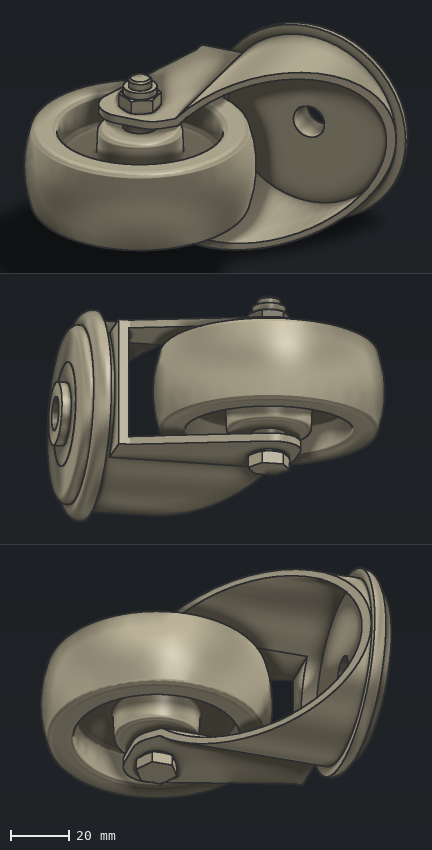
import cadquery as cq
import math


wheel_radius = 40.0
wheel_half_width = 15.0
tread_edge_radius = 37.3
tread_edge_fillet = 2.3
rim_inner_radius = 28.9
rim_floor_radius = 27.7
hub_top_radius = 14.5
hub_foot_radius = 15.1
rim_web_half_thickness = 3.1
hub_web_half_thickness = 2.9
pocket_fillet = 2.1
sleeve_diameter = 12.0

swivel_offset = 39.0
fork_half_height = 22.5
arm_thickness = 2.9
arm_left = -0.6
arm_top = 52.9
taper_start = 49.1
bridge_thickness = 3.5
foot_radius = 10.0
foot_half_flat = 4.6
tube_diameter = 66.0
tube_bore = 61.0
slant_far_x = 72.2

flange_diameter = 73.0
flange_thickness = 5.1
flange_fillet = 4.0
cap_diameter = 62.0
cap_thickness = 3.5
cap_fillet = 2.9
stem_diameter = 22.0
stem_height = 3.2
pad_diameter = 36.0
pad_thickness = 0.1
stem_bore = 11.7
flange_bottom = 54.9

bolt_diameter = 8.0
hex_across_flats = 12.7
collar_diameter = 11.7
washer_face_height = 0.7
head_height = 4.6
nut_height = 5.4
collar_height = 2.4
bolt_tip_length = 3.1
bolt_tip_chamfer = 0.7
hex_chamfer_diameter = 12.2
hex_corner_drop = 0.5

arm_inner = fork_half_height - arm_thickness
arm_reach = -foot_half_flat - foot_radius


def z_cylinder(diameter, bottom, height):
    """Cylinder on the axle axis, growing toward +Z from the given Z."""
    return cq.Workplane("XY", origin=(0, 0, bottom)).circle(diameter / 2).extrude(height)


def swivel_disc(diameter, bottom, height):
    """Disc on the swivel axis, growing toward +Y from the given Y."""
    plane = cq.Plane(origin=(swivel_offset, bottom, 0), xDir=(1, 0, 0), normal=(0, 1, 0))
    return cq.Workplane(plane).circle(diameter / 2).extrude(height)


def circle_point(center, radius, angle):
    return (center[0] + radius * math.cos(angle), center[1] + radius * math.sin(angle))


def tangent_point(point, center, radius, turn):
    """Point where a line from `point` touches a circle; `turn` is +1 or -1 to pick the side."""
    dx = point[0] - center[0]
    dy = point[1] - center[1]
    angle = math.atan2(dy, dx) + turn * math.acos(radius / math.hypot(dx, dy))
    return circle_point(center, radius, angle)


def arc_middle(center, start, end):
    """Point halfway along the short arc from start to end."""
    middle_x = (start[0] + end[0]) / 2 - center[0]
    middle_y = (start[1] + end[1]) / 2 - center[1]
    radius = math.dist(center, start)
    return circle_point(center, radius, math.atan2(middle_y, middle_x))


def make_wheel():
    """Crowned wheel with a ring pocket on each side and a sleeve that reaches both fork arms."""
    top = wheel_half_width
    body = (
        cq.Workplane("XZ")
        .moveTo(0, -top)
        .lineTo(tread_edge_radius, -top)
        .threePointArc((wheel_radius, 0), (tread_edge_radius, top))
        .lineTo(0, top)
        .close()
        .revolve(360, (0, 0, 0), (0, 1, 0))
        .faces("|Z").edges().fillet(tread_edge_fillet)
    )
    pocket = (
        cq.Workplane("XZ")
        .moveTo(hub_top_radius, top)
        .lineTo(hub_foot_radius, hub_web_half_thickness)
        .lineTo(rim_floor_radius, rim_web_half_thickness)
        .lineTo(rim_inner_radius, top)
        .close()
        .revolve(360, (0, 0, 0), (0, 1, 0))
    )
    body = body.cut(pocket).cut(pocket.mirror("XY"))
    reach = rim_inner_radius + pocket_fillet
    height = top + pocket_fillet
    pocket_edges = cq.selectors.BoxSelector(
        (-reach, -reach, -height), (reach, reach, height), boundingbox=True
    )
    body = body.edges("%CIRCLE").edges(pocket_edges).fillet(pocket_fillet)
    sleeve = z_cylinder(sleeve_diameter, -arm_inner, 2 * arm_inner)
    bore = z_cylinder(bolt_diameter, -arm_inner, 2 * arm_inner)
    return body.union(sleeve).cut(bore)


def fork_side_outline():
    """Prism of the fork's outline in X and Y: tapered arm, rounded foot, slanted tube end."""
    left_center = (-foot_half_flat, 0)
    right_center = (foot_half_flat, 0)
    taper_top = (arm_left, taper_start)
    tube_far_corner = (slant_far_x, flange_bottom)
    left_tangent = tangent_point(taper_top, left_center, foot_radius, 1)
    right_tangent = tangent_point(tube_far_corner, right_center, foot_radius, -1)
    flat_left = (-foot_half_flat, -foot_radius)
    flat_right = (foot_half_flat, -foot_radius)
    return (
        cq.Workplane("XY", origin=(0, 0, -flange_diameter / 2))
        .moveTo(arm_left, flange_bottom)
        .lineTo(*taper_top)
        .lineTo(*left_tangent)
        .threePointArc(arc_middle(left_center, left_tangent, flat_left), flat_left)
        .lineTo(*flat_right)
        .threePointArc(arc_middle(right_center, flat_right, right_tangent), right_tangent)
        .lineTo(*tube_far_corner)
        .close()
        .extrude(flange_diameter)
    )


def leg_block(top, half_height):
    """Block from the left end of the arms to the swivel axis, centered on Z = 0."""
    length = swivel_offset - arm_reach
    return (
        cq.Workplane("XY")
        .box(length, top + foot_radius, 2 * half_height, centered=(False, False, True))
        .translate((arm_reach, -foot_radius, 0))
    )


def make_fork_legs():
    """Tube around the swivel axis with two flat arms and the bridge that joins them."""
    tube_length = flange_bottom + foot_radius
    legs = swivel_disc(tube_diameter, -foot_radius, tube_length)
    legs = legs.union(leg_block(arm_top, fork_half_height))
    legs = legs.cut(swivel_disc(tube_bore, -foot_radius, tube_length))
    legs = legs.cut(leg_block(arm_top - bridge_thickness, arm_inner))
    return legs.intersect(fork_side_outline())


def make_swivel_head():
    """Rounded flange and cap with a bored stem."""
    cap_bottom = flange_bottom + flange_thickness
    pad_bottom = cap_bottom + cap_thickness
    stem_bottom = pad_bottom + pad_thickness
    flange = swivel_disc(flange_diameter, flange_bottom, flange_thickness)
    flange = flange.faces(">Y").edges().fillet(flange_fillet)
    cap = swivel_disc(cap_diameter, cap_bottom, cap_thickness)
    cap = cap.faces(">Y").edges().fillet(cap_fillet)
    pad = swivel_disc(pad_diameter, pad_bottom, pad_thickness)
    stem = swivel_disc(stem_diameter, stem_bottom, stem_height)
    bore = swivel_disc(stem_bore, flange_bottom, stem_bottom + stem_height - flange_bottom)
    return flange.union(cap).union(pad).union(stem).cut(bore)


def make_fork():
    bolt_holes = z_cylinder(bolt_diameter, -fork_half_height, 2 * fork_half_height)
    return make_fork_legs().cut(bolt_holes).union(make_swivel_head())


def hexagon(bottom, height, chamfer_top, chamfer_bottom):
    """Hexagonal prism with corners up and down in Y, its corners coned off where asked."""
    corner_radius = hex_across_flats / 2 / math.cos(math.pi / 6)
    prism = (
        cq.Workplane("XY", origin=(0, 0, bottom))
        .transformed(rotate=(0, 0, 90))
        .polygon(6, 2 * corner_radius)
        .extrude(height)
    )
    corner_width = corner_radius - hex_chamfer_diameter / 2
    envelope = z_cylinder(2 * corner_radius, bottom, height)
    if chamfer_top:
        envelope = envelope.faces(">Z").chamfer(hex_corner_drop, corner_width)
    if chamfer_bottom:
        envelope = envelope.faces("<Z").chamfer(hex_corner_drop, corner_width)
    return prism.intersect(envelope)


def make_axle_bolt():
    """Bolt through both arms with its head at the bottom and a collar nut on top."""
    head_bottom = -fork_half_height - washer_face_height - head_height
    collar_bottom = fork_half_height + nut_height
    tip_top = collar_bottom + collar_height + bolt_tip_length
    shank = z_cylinder(bolt_diameter, head_bottom, tip_top - head_bottom)
    shank = shank.faces(">Z").chamfer(bolt_tip_chamfer)
    head = hexagon(head_bottom, head_height, True, False)
    washer_face = z_cylinder(collar_diameter, head_bottom + head_height, washer_face_height)
    nut = hexagon(fork_half_height, nut_height, True, True)
    collar = z_cylinder(collar_diameter, collar_bottom, collar_height)
    return shank.union(head).union(washer_face).union(nut).union(collar)


wheel = make_wheel()
fork = make_fork()
axle_bolt = make_axle_bolt()

result = cq.Compound.makeCompound([wheel.solids().val(), fork.solids().val(), axle_bolt.solids().val()])